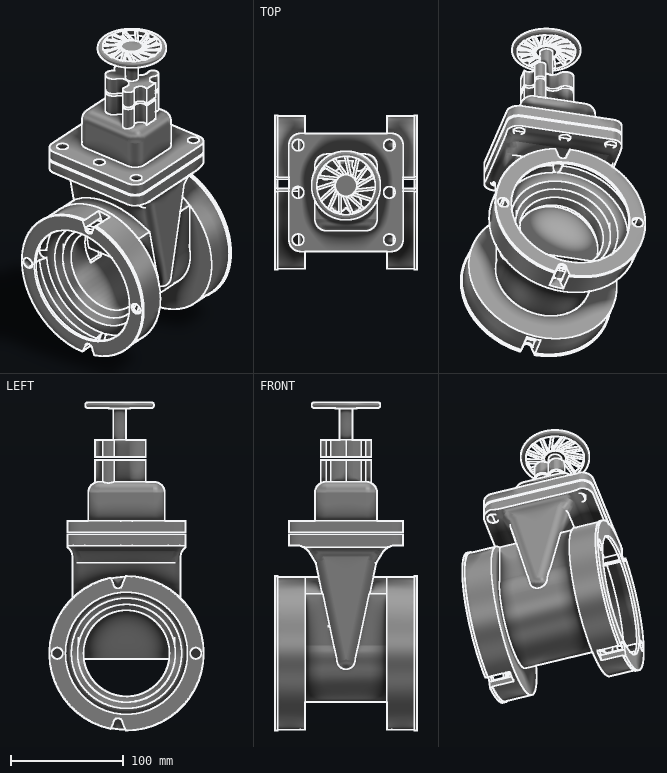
import cadquery as cq
import math


total_length = 126.0
lip_diameter = 137.0
lip_radius = lip_diameter / 2
lip_thickness = 2.3
lip_bore_radius = 54.2
flange_radius = 67.8
flange_thickness = 26.8
chamber_radius = 61.7
chamber_straight_depth = 16.5
chamber_depth = 22.5
chamber_floor_radius = 58.2
throat_radius = 49.0
pin_hole_radius = 5.0
pin_hole_offset = 61.5
notch_center_y = 7.5
notch_half_width = 7.0
notch_tip_half_width = 4.0
notch_tip_center_z = 61.7

pipe_radius = 43.5
bore_radius = 38.0
saddle_half_width = 42.8
pipe_half_length = total_length / 2 - flange_thickness

neck_half_depth = 48.0
neck_slope = 0.21
neck_bottom_radius = 8.7
neck_bottom_z = -14.3
neck_edge_radius = 8.5
flare_start_z = 80.0
flare_slope = 0.61
side_cove_radius = 3.2
end_cove_radius = 10.0

plate_length = 101.3
plate_width = 104.8
plate_corner_radius = 10.5
plate_thickness = 10.2
plate_gap = 1.5
lower_plate_z = 95.5
bolt_hole_diameter = 10.2
bolt_rows_x = (-42.5, 38.5)
bolt_pitch_y = 42.0
upper_plate_z = lower_plate_z + plate_thickness + plate_gap

pocket_radius = 40.8
pocket_floor_z = -16.3
pocket_floor_half_thickness = 7.3
gate_edge_z = -5.2
gate_edge_half_thickness = 3.0

bonnet_length = 55.3
bonnet_width = 68.0
bonnet_top_z = 152.0
bonnet_corner_radius = 10.5
bonnet_top_radius = 9.5

stem_y = 6.0
gland_seat_root_z = 145.5
gland_seat_top_z = 171.5
gland_bottom_z = 173.8
gland_top_z = 189.2
head_half_width = 6.5
head_y = 21.8
gland_arcs = [
    ((7.3, 14.3), (14.0, 13.7)),
    ((22.5, 10.0), (17.5, 5.0)),
    ((6.0, -1.5), (10.5, -9.5)),
    ((13.7, -15.7), (6.0, -23.3)),
    ((1.7, -21.5), (0, -19.5)),
]

total_height = 291.2
wheel_top_z = total_height - lip_radius
wheel_thickness = 5.2
wheel_bottom_z = wheel_top_z - wheel_thickness
wheel_radius = 30.5
rim_inner_radius = 26.0
rim_edge_radius = 2.3
hub_radius = 9.5
hub_bottom_z = 217.0
stem_radius = 5.8
spoke_count = 15
spoke_width = 2.3
spoke_offset = 5.2
spoke_height = 3.8


def x_cylinder(radius, length):
    """Cylinder along X, centered on the origin."""
    return cq.Workplane("YZ").circle(radius).extrude(length / 2, both=True)


def plate_prism(bottom_z, height):
    """Prism with the rounded outline shared by both bolted plates."""
    return (
        cq.Workplane("XY", origin=(0, 0, bottom_z))
        .rect(plate_length, plate_width)
        .extrude(height)
        .edges("|Z")
        .fillet(plate_corner_radius)
    )


def drill_bolt_holes(body, bottom_z):
    """Cut the six bolt holes through the plate that starts at bottom_z."""
    centers = [(x, row * bolt_pitch_y) for x in bolt_rows_x for row in (-1, 0, 1)]
    drills = (
        cq.Workplane("XY", origin=(0, 0, bottom_z))
        .pushPoints(centers)
        .circle(bolt_hole_diameter / 2)
        .extrude(plate_thickness)
    )
    return body.cut(drills)


def make_flange():
    """Flange at the -X end: an undercut chamber behind a thin lip."""
    outer_x = -total_length / 2
    profile = [
        (0, lip_bore_radius),
        (0, lip_radius),
        (lip_thickness, lip_radius),
        (lip_thickness, flange_radius),
        (flange_thickness, flange_radius),
        (flange_thickness, pipe_radius),
        (chamber_depth, throat_radius),
        (chamber_depth, chamber_floor_radius),
        (chamber_straight_depth, chamber_radius),
        (lip_thickness, chamber_radius),
        (lip_thickness, lip_bore_radius),
    ]
    ring = (
        cq.Workplane("XY", origin=(outer_x, 0, 0))
        .polyline(profile)
        .close()
        .revolve(360, (0, 0, 0), (1, 0, 0))
    )
    end_plane = cq.Workplane("YZ", origin=(outer_x, 0, 0))
    pin_holes = (
        end_plane.pushPoints([(-pin_hole_offset, 0), (pin_hole_offset, 0)])
        .circle(pin_hole_radius)
        .extrude(chamber_depth)
    )
    notch = (
        end_plane.moveTo(notch_center_y - notch_half_width, lip_radius)
        .lineTo(notch_center_y - notch_tip_half_width, notch_tip_center_z)
        .threePointArc(
            (notch_center_y, notch_tip_center_z - notch_tip_half_width),
            (notch_center_y + notch_tip_half_width, notch_tip_center_z),
        )
        .lineTo(notch_center_y + notch_half_width, lip_radius)
        .close()
        .extrude(chamber_depth)
    )
    return ring.cut(pin_holes).cut(notch).cut(notch.mirror("XY"))


def make_neck():
    """Round-bottomed wedge that flares into the underside of the lower plate."""
    angle = math.atan(neck_slope)
    arc_center_z = neck_bottom_z + neck_bottom_radius
    tangent_x = neck_bottom_radius * math.cos(angle)
    tangent_z = arc_center_z - neck_bottom_radius * math.sin(angle)
    knee_x = tangent_x + neck_slope * (flare_start_z - tangent_z)
    flare_angle = math.atan(flare_slope)
    flare_end_x = knee_x + flare_slope * (lower_plate_z - flare_start_z)
    cove_length = side_cove_radius / math.tan((math.pi / 2 - flare_angle) / 2)
    cove_start = (
        flare_end_x - cove_length * math.sin(flare_angle),
        lower_plate_z - cove_length * math.cos(flare_angle),
    )
    cove_end_x = flare_end_x + cove_length
    cove_middle_angle = (math.pi / 2 + flare_angle) / 2
    cove_middle = (
        cove_end_x - side_cove_radius * math.cos(cove_middle_angle),
        lower_plate_z - side_cove_radius * (1 - math.sin(cove_middle_angle)),
    )
    front_solid = (
        cq.Workplane("XZ")
        .moveTo(-tangent_x, tangent_z)
        .threePointArc((0, neck_bottom_z), (tangent_x, tangent_z))
        .lineTo(knee_x, flare_start_z)
        .lineTo(*cove_start)
        .threePointArc(cove_middle, (cove_end_x, lower_plate_z))
        .lineTo(-cove_end_x, lower_plate_z)
        .threePointArc((-cove_middle[0], cove_middle[1]), (-cove_start[0], cove_start[1]))
        .lineTo(-knee_x, flare_start_z)
        .close()
        .extrude(neck_half_depth + end_cove_radius, both=True)
    )

    cove_start_z = lower_plate_z - end_cove_radius
    cove_outer_y = neck_half_depth + end_cove_radius
    cove_middle_y = cove_outer_y - end_cove_radius * math.cos(math.pi / 4)
    cove_middle_z = cove_start_z + end_cove_radius * math.sin(math.pi / 4)
    side_solid = (
        cq.Workplane("YZ")
        .moveTo(-neck_half_depth, neck_bottom_z)
        .lineTo(neck_half_depth, neck_bottom_z)
        .lineTo(neck_half_depth, cove_start_z)
        .threePointArc((cove_middle_y, cove_middle_z), (cove_outer_y, lower_plate_z))
        .lineTo(-cove_outer_y, lower_plate_z)
        .threePointArc((-cove_middle_y, cove_middle_z), (-neck_half_depth, cove_start_z))
        .close()
        .extrude(cove_end_x, both=True)
    )
    blank = front_solid.intersect(side_solid)

    corners = blank.edges("(not |Y) and (not |X) and (not >Z)")
    rounded = corners.fillet(neck_edge_radius)
    return rounded.intersect(plate_prism(neck_bottom_z, lower_plate_z - neck_bottom_z))


def make_wedge_disc(floor_z, floor_half_thickness):
    """Disc about X with the pocket radius, above floor_z, thickening upward like the neck."""
    rise = pocket_radius - floor_z
    top_half_thickness = floor_half_thickness + neck_slope * rise
    wedge = (
        cq.Workplane("XZ")
        .polyline(
            [
                (-floor_half_thickness, floor_z),
                (floor_half_thickness, floor_z),
                (top_half_thickness, pocket_radius),
                (-top_half_thickness, pocket_radius),
            ]
        )
        .close()
        .extrude(pocket_radius, both=True)
    )
    return wedge.intersect(x_cylinder(pocket_radius, 2 * top_half_thickness))


def make_body():
    """Pipe, saddle, neck and lower plate in one casting."""
    pipe = x_cylinder(pipe_radius, 2 * pipe_half_length)
    saddle_block = cq.Workplane("XY").box(
        2 * pipe_half_length, 2 * saddle_half_width, flange_radius, centered=(True, True, False)
    )
    saddle = saddle_block.intersect(x_cylinder(flange_radius, 2 * pipe_half_length))
    plate = plate_prism(lower_plate_z, plate_thickness)
    casting = pipe.union(saddle).union(make_neck()).union(plate)

    countersink_depth = pipe_radius - bore_radius
    bore_profile = [
        (-pipe_half_length, 0),
        (-pipe_half_length, pipe_radius),
        (-pipe_half_length + countersink_depth, bore_radius),
        (pipe_half_length - countersink_depth, bore_radius),
        (pipe_half_length, pipe_radius),
        (pipe_half_length, 0),
    ]
    bore = cq.Workplane("XY").polyline(bore_profile).close().revolve(360, (0, 0, 0), (1, 0, 0))
    pocket = make_wedge_disc(pocket_floor_z, pocket_floor_half_thickness)
    return drill_bolt_holes(casting.cut(bore).cut(pocket), lower_plate_z)


def make_gland_prism(bottom_z, top_z):
    """Lobed prism around the stem axis, symmetric left to right."""
    start = (head_half_width, head_y)
    outline = cq.Workplane("XY", origin=(0, stem_y, bottom_z)).moveTo(*start)
    for middle, end in gland_arcs:
        outline = outline.threePointArc(middle, end)
    right_half = outline.lineTo(0, head_y).close().extrude(top_z - bottom_z)
    return right_half.union(right_half.mirror("YZ")).clean()


def make_bonnet():
    """Upper plate with the rounded housing and the gland seat on top of it."""
    housing = (
        cq.Workplane("XY", origin=(0, 0, upper_plate_z))
        .rect(bonnet_length, bonnet_width)
        .extrude(bonnet_top_z - upper_plate_z)
        .edges("|Z")
        .fillet(bonnet_corner_radius)
        .faces(">Z")
        .edges()
        .fillet(bonnet_top_radius)
    )
    plate = drill_bolt_holes(plate_prism(upper_plate_z, plate_thickness), upper_plate_z)
    return plate.union(housing).union(make_gland_prism(gland_seat_root_z, gland_seat_top_z))


def make_spoke(index):
    """Straight spoke set off to one side of the wheel axis."""
    reach_start = math.sqrt(hub_radius**2 - spoke_offset**2) - spoke_width
    middle_z = (wheel_top_z + wheel_bottom_z) / 2
    return (
        cq.Workplane("XY")
        .box(spoke_width, rim_inner_radius - reach_start, spoke_height)
        .translate((-spoke_offset, -(reach_start + rim_inner_radius) / 2, middle_z))
        .rotate((0, 0, 0), (0, 0, 1), index * 360 / spoke_count)
        .translate((0, stem_y, 0))
    )


def make_handwheel():
    """Rim, spokes, hub and stem in one piece."""
    rim = (
        cq.Workplane("XY", origin=(0, stem_y, wheel_bottom_z))
        .circle(wheel_radius)
        .extrude(wheel_thickness)
        .edges()
        .fillet(rim_edge_radius)
    )
    opening = (
        cq.Workplane("XY", origin=(0, stem_y, wheel_bottom_z))
        .circle(rim_inner_radius)
        .extrude(wheel_thickness)
    )
    hub = (
        cq.Workplane("XY", origin=(0, stem_y, hub_bottom_z))
        .circle(hub_radius)
        .extrude(wheel_top_z - hub_bottom_z)
    )
    stem = (
        cq.Workplane("XY", origin=(0, stem_y, gland_top_z))
        .circle(stem_radius)
        .extrude(hub_bottom_z - gland_top_z)
    )
    wheel = rim.cut(opening).union(hub).union(stem)
    for index in range(spoke_count):
        wheel = wheel.union(make_spoke(index))
    return wheel


left_flange = make_flange()
flanges = [left_flange, left_flange.mirror("YZ")]
body = make_body()
gate = make_wedge_disc(gate_edge_z, gate_edge_half_thickness)
bonnet = make_bonnet()
gland = make_gland_prism(gland_bottom_z, gland_top_z)
handwheel = make_handwheel()

result = cq.Compound.makeCompound(
    [
        *[flange.val() for flange in flanges],
        body.val(),
        gate.val(),
        bonnet.val(),
        gland.val(),
        handwheel.val(),
    ]
)